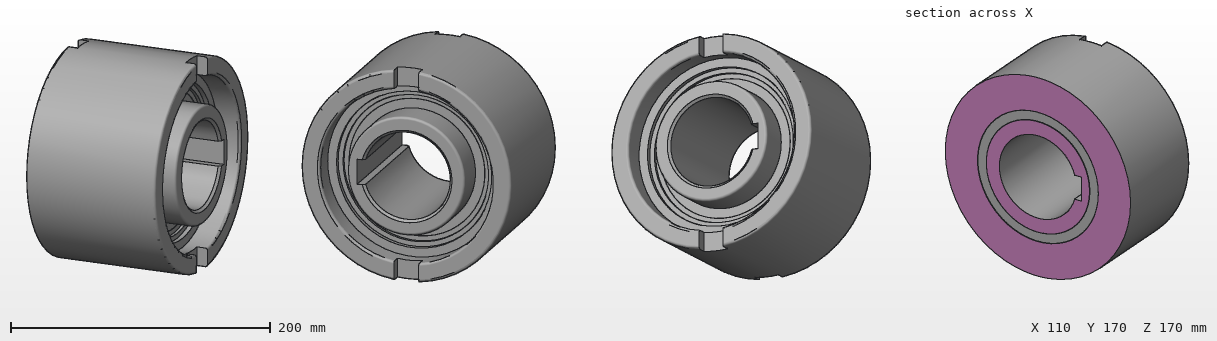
import cadquery as cq

length = 110.0
half_length = length / 2
outer_radius = 85.0
rim_inner_radius = 70.0
hub_radius = 47.5
bore_radius = 35.0

edge_fillet = 2.0
bore_chamfer = 2.0

recess_steps = [
    (rim_inner_radius, 19.2),
    (62.9, 23.3),
    (59.0, 26.0),
    (55.0, 26.4),
]

key_width = 20.0
key_reach = 39.8
slot_width = 20.0
slot_depth = 9.0
slot_floor_radius = 64.6


def x_cylinder(radius, height, start):
    return cq.Workplane("YZ", origin=(start, 0, 0)).circle(radius).extrude(height)


def ring(step_outer, step_inner, depth):
    """Annular pocket sunk into the +X end."""
    outer = x_cylinder(step_outer, depth, half_length - depth)
    return outer.cut(x_cylinder(step_inner, depth, half_length - depth))


def end_recess():
    """Stepped annular recess at the +X end, leaving the hub standing."""
    inner_radii = [radius for radius, _ in recess_steps[1:]] + [hub_radius]
    recess = cq.Workplane("YZ")
    for (radius, depth), inner_radius in zip(recess_steps, inner_radii):
        recess = recess.add(ring(radius, inner_radius, depth))
    return recess.combine()


def end_slots():
    """Two slots through the rim, at top and bottom of the +X end."""
    rim_height = outer_radius - slot_floor_radius
    middle_radius = (outer_radius + slot_floor_radius) / 2
    slots = cq.Workplane("XY")
    for side in (-1, 1):
        slot = cq.Workplane("XY").box(slot_depth, slot_width, rim_height)
        slots = slots.add(slot.translate((half_length - slot_depth / 2, 0, side * middle_radius)))
    return slots.combine()


def cut_both_ends(solid, cutter):
    """Cut the same feature into the +X end and, mirrored, into the -X end."""
    return solid.cut(cutter).cut(cutter.mirror("YZ"))


body = x_cylinder(outer_radius, length, -half_length)
body = cut_both_ends(body, end_recess())

body = body.faces("<X or >X").edges().fillet(edge_fillet)

body = body.cut(x_cylinder(bore_radius, length, -half_length))
body = body.faces("<X or >X").edges(cq.selectors.RadiusNthSelector(0)).chamfer(bore_chamfer)

keyway = cq.Workplane("XY").box(length, key_reach, key_width).translate((0, key_reach / 2, 0))
body = body.cut(keyway)

result = cut_both_ends(body, end_slots())